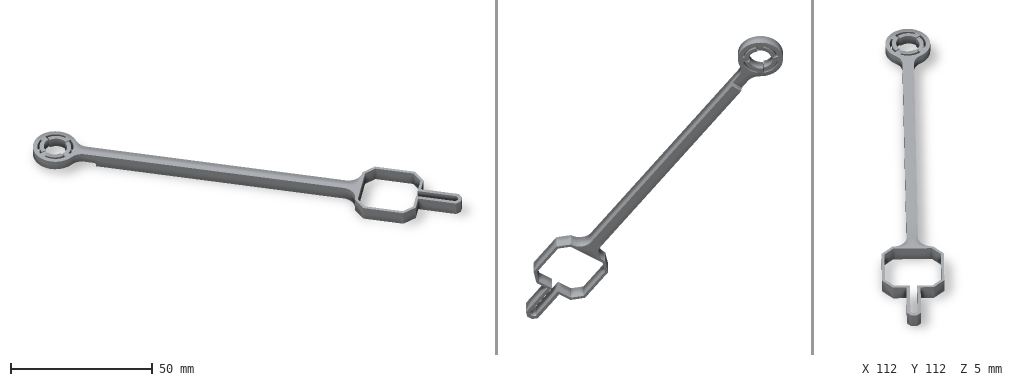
import cadquery as cq
import math

HEIGHT = 5.0
DIAGONAL_ANGLE = 45

RING_RADIUS = 8.0
RING_HEIGHT = 3.6
BORE_RADIUS = 4.4
FINGER_COUNT = 4
SLOT_OUTER_RADIUS = 6.4
SLOT_INNER_RADIUS = 5.7
TIP_SLOT_RADIUS = 5.5
TIP_BORE_RADIUS = 3.9
SLOT_SWEEP = 70
TIP_GAP = 0.3
FIRST_TIP_ANGLE = 45

ARM_WIDTH = 4.0
RING_NECK_FILLET = 5.0
FRAME_NECK_FILLET = 5.0
STEP_DISTANCE = 15.0
STEP_BEVEL_LENGTH = 0.5
STEP_BEVEL_HEIGHT = 0.7

WALL = 1.0
FRAME_LONG_APOTHEM = 11.0
FRAME_SHORT_APOTHEM = 12.9
FRAME_POSITION = 92.8
TAB_WIDTH = 5.0
TAB_WALL = 1.2

SPAN = 112
TAB_RADIUS = TAB_WIDTH / 2
TAB_CENTER = math.sqrt(2) * (SPAN - TAB_RADIUS - RING_RADIUS)
FRAME_CENTER = math.sqrt(2) * (FRAME_POSITION - RING_RADIUS)
RING_BOTTOM = HEIGHT - RING_HEIGHT


def polar(radius, degrees):
    angle = math.radians(degrees)
    return radius * math.cos(angle), radius * math.sin(angle)


def frame_block(inset):
    """Octagonal prism: a square trimmed by a second square turned 45 degrees."""
    long_width = 2 * (FRAME_LONG_APOTHEM - inset)
    short_width = 2 * (FRAME_SHORT_APOTHEM - inset)
    square = cq.Workplane("XY").rect(long_width, long_width).extrude(HEIGHT)
    turned = cq.Workplane("XY").rect(short_width, short_width).extrude(HEIGHT)
    turned = turned.rotate((0, 0, 0), (0, 0, 1), DIAGONAL_ANGLE)
    return square.intersect(turned).translate((FRAME_CENTER, 0, 0))


def tab_block(radius):
    """Bar ending in half a regular octagon, starting at the inner face of the frame wall."""
    half_side = radius * math.tan(math.pi / 8)
    start = FRAME_CENTER + FRAME_LONG_APOTHEM - WALL
    return (
        cq.Workplane("XY")
        .moveTo(start, -radius)
        .lineTo(TAB_CENTER + half_side, -radius)
        .lineTo(TAB_CENTER + radius, -half_side)
        .lineTo(TAB_CENTER + radius, half_side)
        .lineTo(TAB_CENTER + half_side, radius)
        .lineTo(start, radius)
        .close()
        .extrude(HEIGHT)
    )


def arm_block():
    """Arm with concave necks tangent to the ring and to the frame."""
    half = ARM_WIDTH / 2
    ring_fillet_y = half + RING_NECK_FILLET
    ring_fillet_x = math.sqrt((RING_RADIUS + RING_NECK_FILLET) ** 2 - ring_fillet_y**2)
    contact = RING_RADIUS / (RING_RADIUS + RING_NECK_FILLET)
    ring_x, ring_y = ring_fillet_x * contact, ring_fillet_y * contact
    toward_ring = math.atan2(-ring_fillet_y, -ring_fillet_x)
    middle_angle = math.degrees((toward_ring - math.pi / 2) / 2)
    dx, dy = polar(RING_NECK_FILLET, middle_angle)
    ring_mid_x, ring_mid_y = ring_fillet_x + dx, ring_fillet_y + dy

    frame_x = FRAME_CENTER - FRAME_LONG_APOTHEM
    frame_y = half + FRAME_NECK_FILLET
    fillet_x = frame_x - FRAME_NECK_FILLET
    dx, dy = polar(FRAME_NECK_FILLET, -45)
    frame_mid_x, frame_mid_y = fillet_x + dx, frame_y + dy
    return (
        cq.Workplane("XY")
        .moveTo(ring_x, ring_y)
        .threePointArc((ring_mid_x, ring_mid_y), (ring_fillet_x, half))
        .lineTo(fillet_x, half)
        .threePointArc((frame_mid_x, frame_mid_y), (frame_x, frame_y))
        .lineTo(frame_x, -frame_y)
        .threePointArc((frame_mid_x, -frame_mid_y), (fillet_x, -half))
        .lineTo(ring_fillet_x, -half)
        .threePointArc((ring_mid_x, -ring_mid_y), (ring_x, -ring_y))
        .close()
        .extrude(HEIGHT)
    )


def ring_end_relief():
    """Space under the ring and neck, ending at a step whose inner corner is bevelled."""
    return (
        cq.Workplane("XZ")
        .moveTo(-RING_RADIUS, 0)
        .lineTo(STEP_DISTANCE, 0)
        .lineTo(STEP_DISTANCE, RING_BOTTOM - STEP_BEVEL_HEIGHT)
        .lineTo(STEP_DISTANCE - STEP_BEVEL_LENGTH, RING_BOTTOM)
        .lineTo(-RING_RADIUS, RING_BOTTOM)
        .close()
        .extrude(RING_RADIUS, both=True)
    )


def finger_opening(tip_angle):
    """Curved slot behind one finger, joined to the bore by a gap at the finger tip."""
    root_angle = tip_angle - SLOT_SWEEP
    middle_angle = tip_angle - SLOT_SWEEP / 2
    middle_inner_radius = (SLOT_INNER_RADIUS + TIP_SLOT_RADIUS) / 2
    slot = (
        cq.Workplane("XY")
        .moveTo(*polar(TIP_SLOT_RADIUS, tip_angle))
        .lineTo(*polar(SLOT_OUTER_RADIUS, tip_angle))
        .threePointArc(polar(SLOT_OUTER_RADIUS, middle_angle), polar(SLOT_OUTER_RADIUS, root_angle))
        .lineTo(*polar(SLOT_INNER_RADIUS, root_angle))
        .threePointArc(polar(middle_inner_radius, middle_angle), polar(TIP_SLOT_RADIUS, tip_angle))
        .close()
        .extrude(HEIGHT)
    )
    gap_length = SLOT_OUTER_RADIUS - TIP_GAP
    gap = (
        cq.Workplane("XY")
        .rect(gap_length, TIP_GAP)
        .extrude(HEIGHT)
        .translate((gap_length / 2, -TIP_GAP / 2, 0))
        .rotate((0, 0, 0), (0, 0, 1), tip_angle)
    )
    return slot.union(gap)


def bore():
    """Bore whose wall spirals inward from each finger root to its tip."""
    pitch = 360 / FINGER_COUNT
    middle_radius = (BORE_RADIUS + TIP_BORE_RADIUS) / 2
    outline = cq.Workplane("XY").moveTo(*polar(BORE_RADIUS, FIRST_TIP_ANGLE))
    for index in range(FINGER_COUNT):
        root_angle = FIRST_TIP_ANGLE + index * pitch
        tip_angle = root_angle + pitch
        outline = outline.threePointArc(
            polar(middle_radius, root_angle + pitch / 2), polar(TIP_BORE_RADIUS, tip_angle)
        ).lineTo(*polar(BORE_RADIUS, tip_angle))
    return outline.close().extrude(HEIGHT)


body = cq.Workplane("XY").circle(RING_RADIUS).extrude(HEIGHT)
body = body.union(arm_block()).union(frame_block(0)).union(tab_block(TAB_RADIUS))
body = body.cut(frame_block(WALL)).cut(tab_block(TAB_RADIUS - TAB_WALL))
body = body.cut(ring_end_relief()).cut(bore())
for finger in range(FINGER_COUNT):
    body = body.cut(finger_opening(FIRST_TIP_ANGLE + finger * 360 / FINGER_COUNT))

result = body.rotate((0, 0, 0), (0, 0, 1), DIAGONAL_ANGLE).translate((RING_RADIUS, RING_RADIUS, 0))